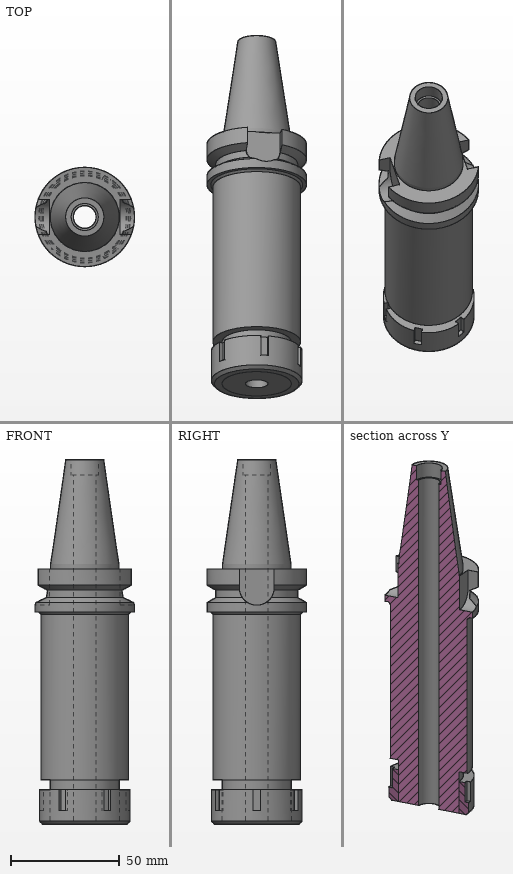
import cadquery as cq
import math

GAUGE_DIAMETER = 31.75
TAPER_PER_DIAMETER = 7 / 24
TAPER_LENGTH = 48.4
NOSE_REACH = 120.0

FLANGE_DIAMETER = 46.0
FLANGE_TOP_Z = -2.0
FLANGE_BOTTOM_Z = -22.0
BODY_FLARE = 1.0

GROOVE_DIAMETER = 38.0
GROOVE_CENTER_Z = -13.6
GROOVE_FLOOR_WIDTH = 3.4
GROOVE_FLANK_ANGLE = 30.0

BODY_DIAMETER = 40.5
BODY_BOTTOM_Z = -99.4
NECK_DIAMETER = 32.0

DRAWBAR_COUNTERBORE_DIAMETER = 12.5
DRAWBAR_COUNTERBORE_DEPTH = 7.0
THROUGH_BORE_DIAMETER = 10.4

DRIVE_SLOT_WIDTH = 16.1
DRIVE_SLOT_FLOOR_X = 16.3
DRIVE_SLOT_BOTTOM_Z = -18.8

NUT_DIAMETER = 42.0
NUT_HEIGHT = 16.0
NUT_CHAMFER = 1.5
NUT_SLOT_COUNT = 6
NUT_SLOT_WIDTH = 3.5
NUT_SLOT_LENGTH = 9.6
NUT_SLOT_DEPTH = 2.0

nose_z = -NOSE_REACH
nut_top_z = nose_z + NUT_HEIGHT
gauge_radius = GAUGE_DIAMETER / 2
taper_end_radius = gauge_radius - TAPER_LENGTH * TAPER_PER_DIAMETER / 2
flange_radius = FLANGE_DIAMETER / 2
body_radius = BODY_DIAMETER / 2
groove_radius = GROOVE_DIAMETER / 2
groove_floor_top_z = GROOVE_CENTER_Z + GROOVE_FLOOR_WIDTH / 2
groove_floor_bottom_z = GROOVE_CENTER_Z - GROOVE_FLOOR_WIDTH / 2
groove_flank_height = (flange_radius - groove_radius) * math.tan(math.radians(GROOVE_FLANK_ANGLE))


def make_shank():
    """Solid of revolution: taper, grooved flange, body flared into the flange, and nose."""
    profile = [
        (0, TAPER_LENGTH),
        (taper_end_radius, TAPER_LENGTH),
        (gauge_radius, 0),
        (gauge_radius, FLANGE_TOP_Z),
        (flange_radius, FLANGE_TOP_Z),
        (flange_radius, groove_floor_top_z + groove_flank_height),
        (groove_radius, groove_floor_top_z),
        (groove_radius, groove_floor_bottom_z),
        (flange_radius, groove_floor_bottom_z - groove_flank_height),
        (flange_radius, FLANGE_BOTTOM_Z),
        (body_radius + BODY_FLARE, FLANGE_BOTTOM_Z),
        (body_radius, FLANGE_BOTTOM_Z - BODY_FLARE),
        (body_radius, BODY_BOTTOM_Z),
        (NECK_DIAMETER / 2, BODY_BOTTOM_Z),
        (NECK_DIAMETER / 2, nose_z),
        (0, nose_z),
    ]
    return cq.Workplane("YZ").polyline(profile).close().revolve(360, (0, 0, 0), (0, 1, 0))


def make_bore():
    """Through bore with the wider drawbar counterbore at the small end of the taper."""
    through = (
        cq.Workplane("XY", origin=(0, 0, nose_z))
        .circle(THROUGH_BORE_DIAMETER / 2)
        .extrude(NOSE_REACH + TAPER_LENGTH)
    )
    counterbore = (
        cq.Workplane("XY", origin=(0, 0, TAPER_LENGTH))
        .circle(DRAWBAR_COUNTERBORE_DIAMETER / 2)
        .extrude(-DRAWBAR_COUNTERBORE_DEPTH)
    )
    return through.union(counterbore)


def make_drive_slot():
    """Cutter for the +X drive-key slot: straight sides above a half-round end."""
    half_width = DRIVE_SLOT_WIDTH / 2
    arc_center_z = DRIVE_SLOT_BOTTOM_Z + half_width
    return (
        cq.Workplane("YZ", origin=(DRIVE_SLOT_FLOOR_X, 0, 0))
        .moveTo(-half_width, FLANGE_TOP_Z)
        .lineTo(-half_width, arc_center_z)
        .threePointArc((0, DRIVE_SLOT_BOTTOM_Z), (half_width, arc_center_z))
        .lineTo(half_width, FLANGE_TOP_Z)
        .close()
        .extrude(flange_radius)
    )


def make_holder():
    """Bored shank with two opposite drive-key slots cut into the flange."""
    holder = make_shank().cut(make_bore())
    for angle in (0, 180):
        holder = holder.cut(make_drive_slot().rotate((0, 0, 0), (0, 0, 1), angle))
    return holder


def make_nut():
    """Clamping nut around the nose, with spanner slots open at its top edge."""
    base = cq.Workplane("XY", origin=(0, 0, nose_z))
    bore = base.circle(NECK_DIAMETER / 2).extrude(NUT_HEIGHT)
    nut = base.circle(NUT_DIAMETER / 2).extrude(NUT_HEIGHT).faces("<Z").chamfer(NUT_CHAMFER).cut(bore)
    slot_floor_radius = NUT_DIAMETER / 2 - NUT_SLOT_DEPTH
    slot = (
        cq.Workplane("XY")
        .box(NUT_DIAMETER, NUT_SLOT_WIDTH, NUT_SLOT_LENGTH, centered=(False, True, False))
        .translate((slot_floor_radius, 0, nut_top_z - NUT_SLOT_LENGTH))
    )
    for index in range(NUT_SLOT_COUNT):
        nut = nut.cut(slot.rotate((0, 0, 0), (0, 0, 1), index * 360 / NUT_SLOT_COUNT))
    return nut


holder = make_holder()
nut = make_nut()

result = cq.Compound.makeCompound([holder.val(), nut.val()])